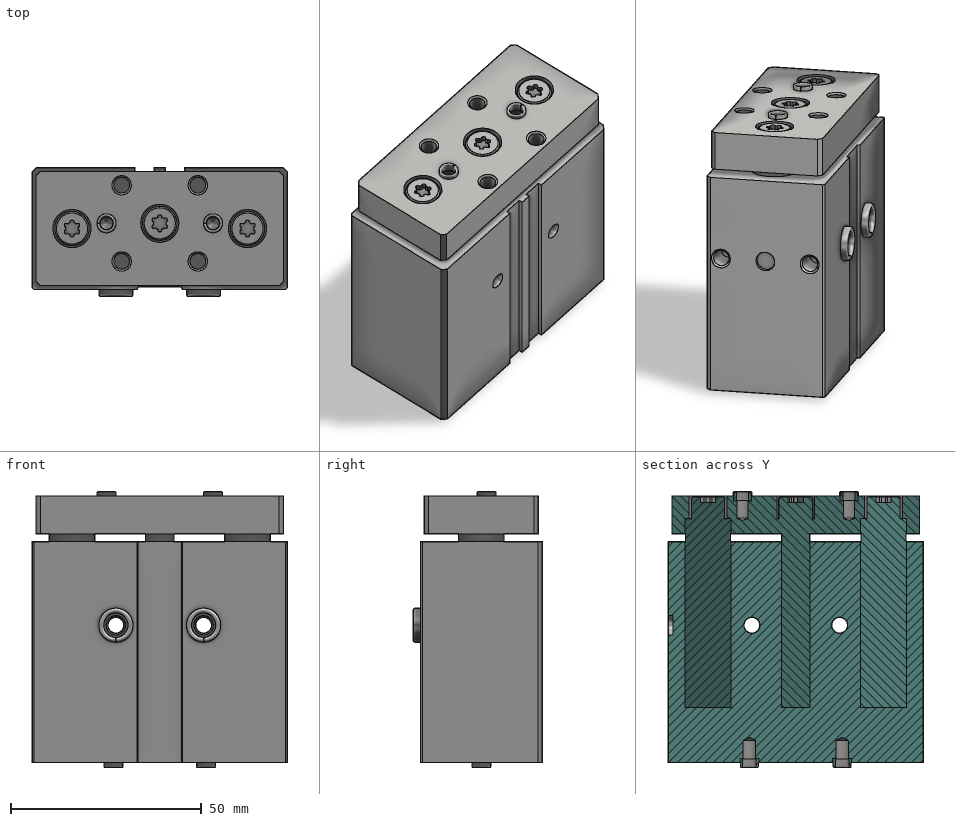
import cadquery as cq
import math

housing_width = 67.0
housing_depth = 32.0
housing_height = 58.0
back_corner_chamfer = 1.15
front_corner_chamfer = 0.5

front_channel_width = 11.9
front_channel_depth = 0.7
front_channel_slope = 0.3
back_channel_width = 13.0
back_channel_depth = 1.0
back_rib_width = 2.9

plate_gap = 2.0
plate_width = 65.0
plate_depth = 30.0
plate_thickness = 10.0
plate_corner_chamfer = 1.15

guide_rod_diameter = 12.0
guide_rod_spacing = 46.05
piston_rod_diameter = 7.5
piston_offset = 1.4
rod_engagement = 43.45
head_diameter = 9.0
head_top_diameter = 8.2
head_pocket_diameter = 10.0
head_pocket_depth = 6.0
head_recess = 0.3
socket_diameter = 4.5
socket_depth = 1.45
lobe_count = 6
lobe_size_ratio = 0.24
socket_core_ratio = 0.74

thread_diameter = 4.1
thread_mouth_diameter = 5.1
drill_point_angle = 118.0
plate_thread_spacing = 20.0
side_thread_spacing = 24.0
side_thread_depth = 8.7
port_height = 36.05

small_sleeve_diameter = 5.0
small_sleeve_bore = 3.55
small_sleeve_length = 2.3
top_sleeve_protrusion = 1.1
top_sleeve_spacing = 27.95
bottom_sleeve_protrusion = 1.3
bottom_sleeve_spacing = 24.3
sleeve_hole_diameter = 3.3
sleeve_hole_depth = 5.8
side_recess_depth = 1.2

large_sleeve_diameter = 9.0
large_sleeve_bore = 6.4
large_sleeve_length = 3.25
large_sleeve_protrusion = 1.9
large_sleeve_spacing = 23.0

slit_width = 0.15

housing_front = -housing_depth / 2
housing_back = housing_depth / 2
housing_left = -housing_width / 2
plate_bottom = housing_height + plate_gap
plate_top = plate_bottom + plate_thickness
head_pocket_floor = plate_top - head_pocket_depth
large_sleeve_seat_depth = large_sleeve_length - large_sleeve_protrusion
mirror_signs = (-1, 1)

UP = (0, 0, 1)
DOWN = (0, 0, -1)
BACKWARD = (0, 1, 0)
RIGHTWARD = (1, 0, 0)
LEFTWARD = (-1, 0, 0)


def cylinder(diameter, length, start, direction):
    """Cylinder running from its start centre along a direction."""
    return cq.Workplane(cq.Solid.makeCylinder(diameter / 2, length, cq.Vector(start), cq.Vector(direction)))


def cone(start_diameter, end_diameter, length, start, direction):
    """Cone frustum running from its start centre along a direction."""
    solid = cq.Solid.makeCone(
        start_diameter / 2, end_diameter / 2, length, cq.Vector(start), cq.Vector(direction)
    )
    return cq.Workplane(solid)


def moved(point, direction, distance):
    """The point shifted along a unit direction."""
    return tuple(p + d * distance for p, d in zip(point, direction))


def drilled_hole(diameter, depth, start, direction):
    """Cutter for a blind hole with a conical drill point."""
    point_length = diameter / 2 / math.tan(math.radians(drill_point_angle / 2))
    bottom = moved(start, direction, depth)
    hole = cylinder(diameter, depth, start, direction)
    return hole.union(cone(diameter, 0, point_length, bottom, direction))


def thread_countersink(start, direction):
    """Cutter for a 45 degree countersink at the mouth of a threaded hole."""
    depth = (thread_mouth_diameter - thread_diameter) / 2
    return cone(thread_mouth_diameter, thread_diameter, depth, start, direction)


def sleeve_seat(start, direction, protrusion):
    """Cutter for a small sleeve's seat and the drilled hole below it."""
    seat = cylinder(small_sleeve_diameter, small_sleeve_length - protrusion, start, direction)
    return seat.union(drilled_hole(sleeve_hole_diameter, sleeve_hole_depth, start, direction))


def hexalobular_socket(start):
    """Cutter for a six-lobed screw socket sunk downward from its start centre."""
    lobe_diameter = lobe_size_ratio * socket_diameter
    lobe_circle_radius = (socket_diameter - lobe_diameter) / 2
    socket = cylinder(socket_core_ratio * socket_diameter, socket_depth, start, DOWN)
    for index in range(lobe_count):
        angle = math.radians(90 + 360 / lobe_count * index)
        toward_lobe = (math.cos(angle), math.sin(angle), 0)
        socket = socket.union(
            cylinder(lobe_diameter, socket_depth, moved(start, toward_lobe, lobe_circle_radius), DOWN)
        )
    return socket


def rod_with_head(x, y, rod_diameter):
    """Rod from inside the housing up to a chamfered socket screw head in the plate."""
    rod_bottom = housing_height - rod_engagement
    head_top = plate_top - head_recess
    head_chamfer = (head_diameter - head_top_diameter) / 2
    shoulder = head_top - head_chamfer
    rod = cylinder(rod_diameter, head_pocket_floor - rod_bottom, (x, y, rod_bottom), UP)
    head = cylinder(head_diameter, shoulder - head_pocket_floor, (x, y, head_pocket_floor), UP)
    head = head.union(cone(head_diameter, head_top_diameter, head_chamfer, (x, y, shoulder), UP))
    return rod.union(head).cut(hexalobular_socket((x, y, head_top)))


def rod_hole(x, y, diameter):
    """Cutter for the blind rod bore in the top of the housing."""
    return cylinder(diameter, rod_engagement, (x, y, housing_height), DOWN)


guide_rod_places = [(sign * guide_rod_spacing / 2, 0) for sign in mirror_signs]
top_sleeve_places = [(sign * top_sleeve_spacing / 2, piston_offset, plate_top) for sign in mirror_signs]
bottom_sleeve_places = [(sign * bottom_sleeve_spacing / 2, 0, 0) for sign in mirror_signs]
large_sleeve_places = [
    (sign * large_sleeve_spacing / 2, housing_front, port_height) for sign in mirror_signs
]


def front_channel():
    """Cutter for the shallow, slope-sided channel in the front face."""
    half_mouth = front_channel_width / 2
    half_floor = half_mouth - front_channel_slope
    floor = housing_front + front_channel_depth
    outline = [
        (-half_mouth, housing_front),
        (-half_floor, floor),
        (half_floor, floor),
        (half_mouth, housing_front),
    ]
    return cq.Workplane().polyline(outline).close().extrude(housing_height)


def back_channel():
    """Cutter for the back channel, which leaves a rib along its middle."""
    channel = cq.Workplane().rect(back_channel_width, 2 * back_channel_depth).extrude(housing_height)
    rib = cq.Workplane().rect(back_rib_width, 2 * back_channel_depth).extrude(housing_height)
    return channel.cut(rib).translate((0, housing_back, 0))


def side_holes():
    """Cutter for the left face: two threaded holes beside a shallow centring recess."""
    holes = cylinder(small_sleeve_diameter, side_recess_depth, (housing_left, 0, port_height), RIGHTWARD)
    for sign in mirror_signs:
        mouth = (housing_left, sign * side_thread_spacing / 2, port_height)
        holes = holes.union(drilled_hole(thread_diameter, side_thread_depth, mouth, RIGHTWARD))
        holes = holes.union(thread_countersink(mouth, RIGHTWARD))
    return holes


def front_port(mouth):
    """Cutter for a large sleeve seat and the countersunk hole through to the back."""
    seat_floor = moved(mouth, BACKWARD, large_sleeve_seat_depth)
    port = cylinder(large_sleeve_diameter, large_sleeve_seat_depth, mouth, BACKWARD)
    port = port.union(cylinder(thread_diameter, housing_depth, mouth, BACKWARD))
    return port.union(thread_countersink(seat_floor, BACKWARD))


def make_housing():
    body = cq.Workplane().box(housing_width, housing_depth, housing_height, centered=(True, True, False))
    body = body.edges("|Z and >Y").chamfer(back_corner_chamfer)
    body = body.edges("|Z and <Y").chamfer(front_corner_chamfer)
    body = body.cut(front_channel()).cut(back_channel()).cut(side_holes())
    for x, y in guide_rod_places:
        body = body.cut(rod_hole(x, y, guide_rod_diameter))
    body = body.cut(rod_hole(0, piston_offset, piston_rod_diameter))
    for mouth in large_sleeve_places:
        body = body.cut(front_port(mouth))
    for mouth in bottom_sleeve_places:
        body = body.cut(sleeve_seat(mouth, UP, bottom_sleeve_protrusion))
    return body


def make_plate():
    """Yoke plate in one piece with the piston rod and its screw head."""
    body = cq.Workplane().box(plate_width, plate_depth, plate_thickness, centered=(True, True, False))
    body = body.edges("|Z").chamfer(plate_corner_chamfer).translate((0, 0, plate_bottom))
    for x, y in [*guide_rod_places, (0, piston_offset)]:
        body = body.cut(cylinder(head_pocket_diameter, head_pocket_depth, (x, y, plate_top), DOWN))
    rod_hole_depth = head_pocket_floor - plate_bottom
    for x, y in guide_rod_places:
        body = body.cut(cylinder(guide_rod_diameter, rod_hole_depth, (x, y, plate_bottom), UP))
    half_spacing = plate_thread_spacing / 2
    for x_sign in mirror_signs:
        for y_sign in mirror_signs:
            mouth = (x_sign * half_spacing, piston_offset + y_sign * half_spacing, plate_top)
            body = body.cut(cylinder(thread_diameter, plate_thickness, mouth, DOWN))
            body = body.cut(thread_countersink(mouth, DOWN))
    for mouth in top_sleeve_places:
        body = body.cut(sleeve_seat(mouth, DOWN, top_sleeve_protrusion))
    return body.union(rod_with_head(0, piston_offset, piston_rod_diameter))


def make_guide_rod(x, y):
    return rod_with_head(x, y, guide_rod_diameter)


def make_sleeve(diameter, bore, length, mouth, inward, protrusion, slit_direction):
    """Slit sleeve seated in a face, with a full-round outer end standing proud of it."""
    outer_radius = diameter / 2
    bore_radius = bore / 2
    end_radius = (outer_radius - bore_radius) / 2
    wall_middle = (outer_radius + bore_radius) / 2
    sleeve_plane = cq.Plane(
        origin=moved(mouth, inward, -protrusion),
        xDir=slit_direction,
        normal=cq.Vector(slit_direction).cross(cq.Vector(inward)),
    )
    profile = cq.Workplane(sleeve_plane).moveTo(bore_radius, length).lineTo(bore_radius, end_radius)
    profile = profile.threePointArc((wall_middle, 0), (outer_radius, end_radius))
    profile = profile.lineTo(outer_radius, length).close()
    body = profile.revolve(360, (0, 0), (0, 1))
    slit = cq.Workplane(sleeve_plane).center(wall_middle, length / 2)
    return body.cut(slit.box(2 * (outer_radius - bore_radius), length, slit_width))


def make_small_sleeve(mouth, inward, protrusion):
    return make_sleeve(
        small_sleeve_diameter, small_sleeve_bore, small_sleeve_length, mouth, inward, protrusion, LEFTWARD
    )


def make_large_sleeve(mouth):
    return make_sleeve(
        large_sleeve_diameter,
        large_sleeve_bore,
        large_sleeve_length,
        mouth,
        BACKWARD,
        large_sleeve_protrusion,
        DOWN,
    )


housing = make_housing()
plate = make_plate()
guide_rods = [make_guide_rod(x, y) for x, y in guide_rod_places]
top_sleeves = [make_small_sleeve(mouth, DOWN, top_sleeve_protrusion) for mouth in top_sleeve_places]
bottom_sleeves = [make_small_sleeve(mouth, UP, bottom_sleeve_protrusion) for mouth in bottom_sleeve_places]
large_sleeves = [make_large_sleeve(mouth) for mouth in large_sleeve_places]

bodies = [housing, plate, *guide_rods, *top_sleeves, *bottom_sleeves, *large_sleeves]
result = cq.Compound.makeCompound([body.val() for body in bodies])